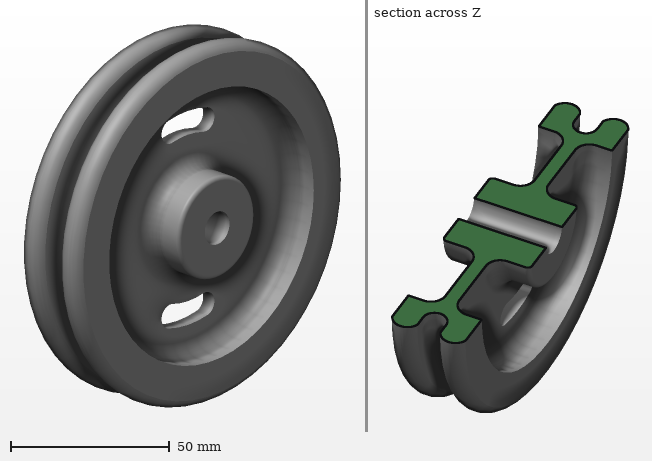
import cadquery as cq
import math


outer_radius = 60.0
rim_width = 26.0
rim_inner_radius = 45.5
crown_height = 3.0

groove_width = 8.0
groove_depth = 11.0

web_thickness = 5.0
web_fillet = 5.0

hub_length = 31.0
hub_radius = 17.0
hub_edge_fillet = 1.5
bore_radius = 5.5

slot_pitch_radius = 32.0
slot_width = 8.0
slot_half_angle = 14.0
slot_directions = (90.0, 270.0)

groove_half_width = groove_width / 2
rim_half_width = rim_width / 2
web_half_thickness = web_thickness / 2
hub_half_length = hub_length / 2
groove_arc_radius = outer_radius - groove_depth + groove_half_width
flange_side_radius = outer_radius - crown_height
flange_middle = (groove_half_width + rim_half_width) / 2
flange_half_width = (rim_half_width - groove_half_width) / 2
crown_radius = (flange_half_width**2 + crown_height**2) / (2 * crown_height)
arc_middle_inset = 1 - math.sqrt(0.5)


def crown_point(offset):
    """Point of the flange top arc, offset along X from the flange middle."""
    drop = crown_radius - math.sqrt(crown_radius**2 - offset**2)
    return (flange_middle + offset, outer_radius - drop)


def turned_wheel():
    """Turned body with a flat groove floor.

    The +X half of the section is drawn as (x, radius) points and mirrored.
    """
    fillet_edge = web_half_thickness + web_fillet
    fillet_inset = web_fillet * arc_middle_inset
    hub_edge_inset = hub_edge_fillet * arc_middle_inset
    crown_top = (flange_middle, outer_radius)
    profile = (
        cq.Workplane("XY")
        .moveTo(0, groove_arc_radius)
        .lineTo(groove_half_width, groove_arc_radius)
        .lineTo(groove_half_width, flange_side_radius)
        .threePointArc(crown_point(-flange_half_width / 2), crown_top)
        .threePointArc(crown_point(flange_half_width / 2), (rim_half_width, flange_side_radius))
        .lineTo(rim_half_width, rim_inner_radius)
        .lineTo(fillet_edge, rim_inner_radius)
        .threePointArc(
            (web_half_thickness + fillet_inset, rim_inner_radius - fillet_inset),
            (web_half_thickness, rim_inner_radius - web_fillet),
        )
        .lineTo(web_half_thickness, hub_radius + web_fillet)
        .threePointArc(
            (web_half_thickness + fillet_inset, hub_radius + fillet_inset),
            (fillet_edge, hub_radius),
        )
        .lineTo(hub_half_length - hub_edge_fillet, hub_radius)
        .threePointArc(
            (hub_half_length - hub_edge_inset, hub_radius - hub_edge_inset),
            (hub_half_length, hub_radius - hub_edge_fillet),
        )
        .lineTo(hub_half_length, bore_radius)
        .lineTo(0, bore_radius)
        .mirrorY()
    )
    return profile.revolve(360, (0, 0, 0), (1, 0, 0))


def groove_floor_cutter():
    """Ring of round section that hollows the floor of the rope groove."""
    section = cq.Workplane("XY").center(0, groove_arc_radius).circle(groove_half_width)
    return section.revolve(360, (0, -groove_arc_radius, 0), (1, -groove_arc_radius, 0))


def polar(radius, angle):
    """Point (y, z) at an angle in degrees measured from +Y toward +Z."""
    return (radius * math.cos(math.radians(angle)), radius * math.sin(math.radians(angle)))


def slot_cutter(direction):
    """Arc-shaped slot with round ends, cutting right through the web."""
    inner = slot_pitch_radius - slot_width / 2
    outer = slot_pitch_radius + slot_width / 2
    start = direction - slot_half_angle
    end = direction + slot_half_angle
    band = (
        cq.Workplane("YZ")
        .moveTo(*polar(inner, start))
        .threePointArc(polar(inner, direction), polar(inner, end))
        .lineTo(*polar(outer, end))
        .threePointArc(polar(outer, direction), polar(outer, start))
        .close()
        .extrude(web_half_thickness, both=True)
    )
    ends = (
        cq.Workplane("YZ")
        .pushPoints([polar(slot_pitch_radius, start), polar(slot_pitch_radius, end)])
        .circle(slot_width / 2)
        .extrude(web_half_thickness, both=True)
    )
    return band.union(ends)


result = turned_wheel().cut(groove_floor_cutter())
for slot_direction in slot_directions:
    result = result.cut(slot_cutter(slot_direction))